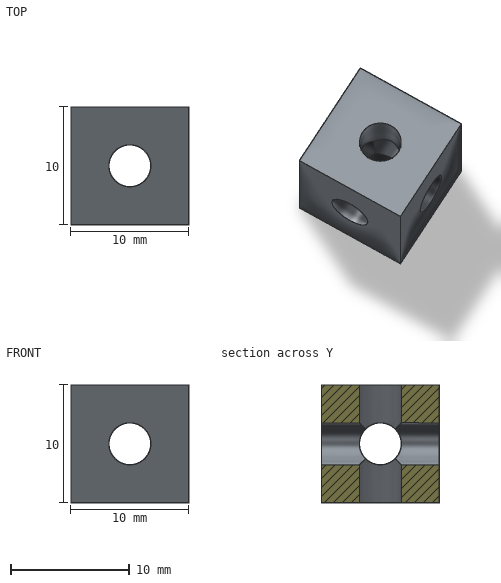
import cadquery as cq

cube_side = 10.0
hole_diameter = 3.53

result = cq.Workplane("XY").box(cube_side, cube_side, cube_side)

for plane in ("XY", "XZ", "YZ"):
    drill = cq.Workplane(plane).circle(hole_diameter / 2).extrude(cube_side / 2, both=True)
    result = result.cut(drill)